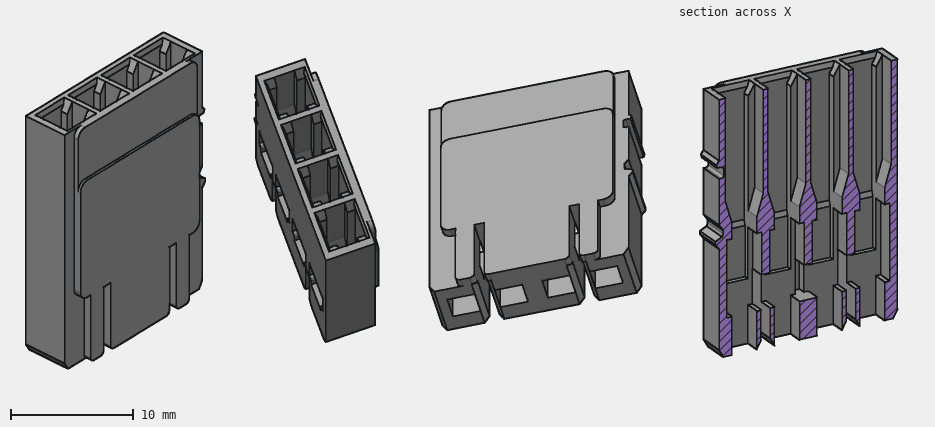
import cadquery as cq

HEIGHT = 23.0
BODY_X = 4.28
BODY_Y = 16.8
MID_Y = BODY_Y / 2

COUNT = 4
PITCH = 4.0
POCKET_YS = [MID_Y + (i - (COUNT - 1) / 2) * PITCH for i in range(COUNT)]
POCKET_X = 2.25
MOUTH = 3.52
MOUTH_BEVEL = 0.18
BEVEL_Z = 0.45
FLOOR_X = 2.78
POCKET_FLOOR = 5.77
CHANNEL_Y = 2.32
LEAD_IN_Z = 0.97
RECESS_X = 1.75
RECESS_FLOOR = 13.8
RECESS_SLOPE_Z = 1.95
EXIT_X = 1.86

WINDOW_Y = 3.22
WINDOW_TOP = 10.33
LEDGE_Z = 6.95
LEDGE_DEPTH = 1.72
LEDGE_ROUND = 0.2
SELECT_GAP = 0.02

BAY_END_X = POCKET_X + EXIT_X / 2
BAY_FLOOR = 3.45

SLOT_Y = 0.83
SLOT_TOP = 6.55
SLOT_YS = [MID_Y - PITCH, MID_Y + PITCH]
FOOT_BEVEL_Y = 0.41
FOOT_BEVEL_Z = 0.74

INNER_SLOT_END_X = 3.9

UPPER_LIP_TOP = 17.57
UPPER_TIP_Y = 17.05
UPPER_TIP_Z = 17.23
UPPER_LIP_ROOT_Y = 16.95
UPPER_NOTCH_TOP = 16.93
UPPER_NOTCH_BOTTOM = 15.96
UPPER_NOTCH_Y = 16.35
NOTCH_ROUND = 0.2
LOWER_NOTCH_TOP = 11.85
LOWER_NOTCH_Y = 16.42
LOWER_NOTCH_WALL_TOP = 11.32
LOWER_NOTCH_WALL_BOTTOM = 11.05
LOWER_LIP_START = (16.51, 10.75)
LOWER_TIP_Y = 17.14
LOWER_TIP_TOP = 10.45
LOWER_TIP_BOTTOM = 10.17
LOWER_LIP_BOTTOM = 9.7

RAIL_START_Y = 1.15
RAIL_END_Y = 15.65
RAIL_X = 5.0
RAIL_UPPER_X = 4.74
RAIL_STEP_Z = 17.99
RAIL_ROUND = 0.83
RAIL_ROOT_X = 3.93
RAIL_BOTTOM = SLOT_TOP
FOOT_PLATE_INSET = 2.4
FOOT_ROUND = 0.41
FOOT_LEAD_Z = 0.6


def box(x0, x1, y0, y1, z0, z1):
    """Block between two opposite corners."""
    return cq.Workplane("XY").box(x1 - x0, y1 - y0, z1 - z0, centered=False).translate((x0, y0, z0))


def taper(centre_y, z0, size0, z1, size1):
    """Rectangular frustum on a pocket axis, from size0 at z0 to size1 at z1."""
    return (
        cq.Workplane("XY", origin=(POCKET_X, centre_y, z0))
        .rect(*size0)
        .workplane(offset=z1 - z0)
        .rect(*size1)
        .loft(ruled=True)
    )


def leg_spans():
    """Y ranges of the three legs."""
    first, last = SLOT_YS
    half = SLOT_Y / 2
    return [(0, first - half), (first + half, last - half), (last + half, BODY_Y)]


def bevelled_leg(y0, y1):
    """Leg with both lower corners bevelled, up to the slot tops."""
    points = [
        (y0, SLOT_TOP),
        (y0, FOOT_BEVEL_Z),
        (y0 + FOOT_BEVEL_Y, 0),
        (y1 - FOOT_BEVEL_Y, 0),
        (y1, FOOT_BEVEL_Z),
        (y1, SLOT_TOP),
    ]
    return cq.Workplane("YZ").polyline(points).close().extrude(BODY_X)


def latch_block():
    """Body above the slots, with the two latch lips and notches on +Y."""
    round_start_y = UPPER_NOTCH_Y + NOTCH_ROUND
    return (
        cq.Workplane("YZ")
        .moveTo(0, SLOT_TOP)
        .lineTo(0, HEIGHT)
        .lineTo(BODY_Y, HEIGHT)
        .lineTo(BODY_Y, UPPER_LIP_TOP)
        .lineTo(UPPER_TIP_Y, UPPER_TIP_Z)
        .lineTo(UPPER_LIP_ROOT_Y, UPPER_NOTCH_TOP)
        .lineTo(round_start_y, UPPER_NOTCH_TOP)
        .radiusArc((UPPER_NOTCH_Y, UPPER_NOTCH_TOP - NOTCH_ROUND), -NOTCH_ROUND)
        .lineTo(UPPER_NOTCH_Y, UPPER_NOTCH_BOTTOM + NOTCH_ROUND)
        .radiusArc((round_start_y, UPPER_NOTCH_BOTTOM), -NOTCH_ROUND)
        .lineTo(BODY_Y, UPPER_NOTCH_BOTTOM)
        .lineTo(BODY_Y, LOWER_NOTCH_TOP)
        .lineTo(LOWER_NOTCH_Y, LOWER_NOTCH_WALL_TOP)
        .lineTo(LOWER_NOTCH_Y, LOWER_NOTCH_WALL_BOTTOM)
        .tangentArcPoint(LOWER_LIP_START, relative=False)
        .lineTo(LOWER_TIP_Y, LOWER_TIP_TOP)
        .lineTo(LOWER_TIP_Y, LOWER_TIP_BOTTOM)
        .lineTo(BODY_Y, LOWER_LIP_BOTTOM)
        .lineTo(BODY_Y, SLOT_TOP)
        .close()
        .extrude(BODY_X)
    )


def rail_layer(outer_x, top):
    """Rail plate with rounded corners, up to the given thickness and height."""
    return box(
        RAIL_ROOT_X, outer_x, RAIL_START_Y, RAIL_END_Y, RAIL_BOTTOM, top
    ).edges("|X").fillet(RAIL_ROUND)


def foot_plate(y0, y1):
    """Part of the rail behind one leg, with round corners and an inner lead-in."""
    plate = box(RAIL_ROOT_X, RAIL_X, y0, y1, 0, RAIL_BOTTOM + RAIL_ROUND)
    plate = plate.edges("|X and <Z").fillet(FOOT_ROUND)
    lead_in = (
        cq.Workplane("XZ", origin=(0, y1, 0))
        .polyline([(RAIL_ROOT_X, 0), (BODY_X, 0), (RAIL_ROOT_X, FOOT_LEAD_Z)])
        .close()
        .extrude(y1 - y0)
    )
    return plate.cut(lead_in)


def pocket(centre_y):
    """Contact pocket: bevelled mouth, guide ribs, centre recess, floor and exit."""
    wall_x = MOUTH - 2 * MOUTH_BEVEL
    bevel_z = HEIGHT - BEVEL_Z
    lead_z = HEIGHT - LEAD_IN_Z
    slope_z = RECESS_FLOOR - RECESS_SLOPE_Z
    bevel = taper(centre_y, bevel_z, (wall_x, MOUTH), HEIGHT, (MOUTH, MOUTH))
    lead_in = taper(centre_y, lead_z, (wall_x, CHANNEL_Y), HEIGHT, (wall_x, MOUTH))
    rib_tops = taper(centre_y, lead_z, (MOUTH, CHANNEL_Y), HEIGHT, (MOUTH, MOUTH))
    upper_floor = WINDOW_TOP + BEVEL_Z
    well = taper(centre_y, upper_floor, (wall_x, CHANNEL_Y), HEIGHT, (wall_x, CHANNEL_Y))
    inner_bevel = taper(centre_y, WINDOW_TOP, (FLOOR_X, CHANNEL_Y), upper_floor, (wall_x, CHANNEL_Y))
    lower_well = taper(centre_y, POCKET_FLOOR, (FLOOR_X, CHANNEL_Y), WINDOW_TOP, (FLOOR_X, CHANNEL_Y))
    recess = taper(centre_y, RECESS_FLOOR, (RECESS_X, MOUTH), HEIGHT, (RECESS_X, MOUTH))
    slope = taper(centre_y, slope_z, (RECESS_X, CHANNEL_Y), RECESS_FLOOR, (RECESS_X, MOUTH))
    leg_exit = taper(centre_y, 0, (EXIT_X, CHANNEL_Y), POCKET_FLOOR, (EXIT_X, CHANNEL_Y))
    cavity = well.union(inner_bevel).union(lower_well).union(leg_exit)
    return cavity.union(bevel.intersect(rib_tops)).union(lead_in).union(recess).union(slope)


def window(centre_y):
    """Opening in the -X face: a wide upper part and a narrow part to the floor."""
    half = WINDOW_Y / 2
    narrow = CHANNEL_Y / 2
    upper = box(0, LEDGE_DEPTH, centre_y - half, centre_y + half, LEDGE_Z, WINDOW_TOP)
    lower = box(0, LEDGE_DEPTH, centre_y - narrow, centre_y + narrow, POCKET_FLOOR, WINDOW_TOP)
    opening = upper.union(lower)
    ledge_edges = cq.selectors.BoxSelector(
        (0, centre_y - narrow - SELECT_GAP, LEDGE_Z - SELECT_GAP),
        (LEDGE_DEPTH, centre_y + narrow + SELECT_GAP, LEDGE_Z + SELECT_GAP),
    )
    return opening.edges(ledge_edges).edges("|X").fillet(LEDGE_ROUND)


def bay(centre_y):
    """Full window width behind the ledges, down past the pocket floor."""
    half = WINDOW_Y / 2
    return box(LEDGE_DEPTH, BAY_END_X, centre_y - half, centre_y + half, BAY_FLOOR, WINDOW_TOP)


def slot(centre_y, x0, x1, z0):
    """Slot between two pockets, up to the common slot top."""
    return box(x0, x1, centre_y - SLOT_Y / 2, centre_y + SLOT_Y / 2, z0, SLOT_TOP)


body = latch_block()
for span in leg_spans():
    body = body.union(bevelled_leg(*span))

body = body.union(rail_layer(RAIL_X, RAIL_STEP_Z)).union(rail_layer(RAIL_UPPER_X, HEIGHT))
for start, end in leg_spans():
    body = body.union(foot_plate(max(start, FOOT_PLATE_INSET), min(end, BODY_Y - FOOT_PLATE_INSET)))

for pocket_y in POCKET_YS:
    body = body.cut(pocket(pocket_y)).cut(window(pocket_y)).cut(bay(pocket_y))

for slot_y in SLOT_YS:
    body = body.cut(slot(slot_y, 0, RAIL_X, 0))

result = body.cut(slot(MID_Y, LEDGE_DEPTH, INNER_SLOT_END_X, BAY_FLOOR))